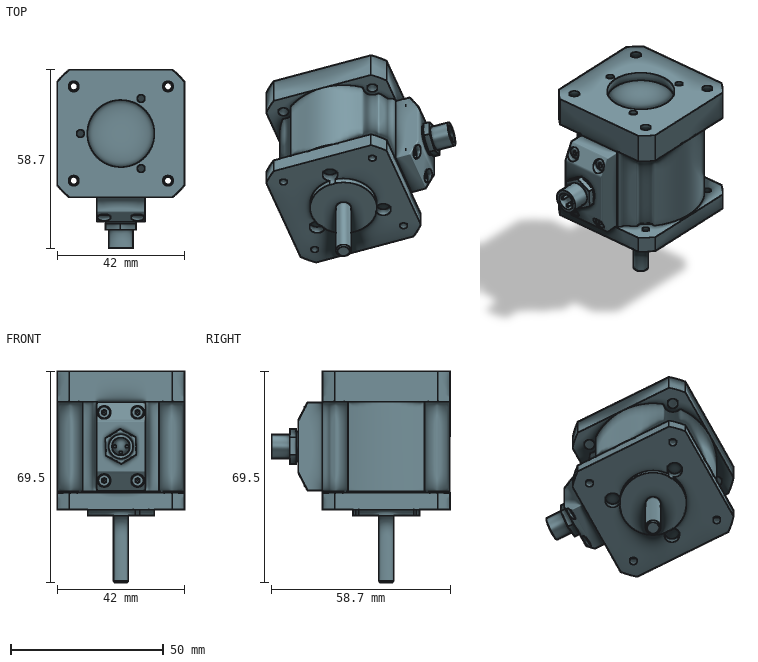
import cadquery as cq
import math

select_margin = 0.5

frame_size = 42.0
frame_corner_radius = 27.0
half_frame = frame_size / 2

flange_thickness = 5.5
gap_height = 0.5
body_height = 29.5
cap_height = 10.0
body_bottom = flange_thickness + gap_height
body_top = body_bottom + body_height
cap_top = body_top + cap_height

pilot_diameter = 22.0
pilot_height = 2.0
shaft_diameter = 5.0
shaft_length = 22.0
shaft_chamfer = 0.5

bolt_spacing = 31.0
flange_hole_diameter = 2.46
cap_hole_diameter = 3.4

recess_diameter = 22.1
recess_depth = 3.0
small_hole_circle_radius = 13.3
small_hole_angles = (60, 180, 300)
small_hole_diameter = 2.5
small_hole_depth = 6.0
flange_recess_diameter = 5.0
flange_recess_depth = 3.0

body_diameter = frame_size
neck_diameter = 38.0
groove_diameter = 6.0
groove_rim_fillet = 0.75
pad_outer_half_width = 8.6
pad_root_half_width = 9.4
pad_root_y = -18.6
pad_fillet = 1.2

housing_width = 16.0
housing_height = 29.0
housing_face_y = -29.0
housing_slope_start_y = -25.9
housing_slope_height = 6.0
housing_face_fillet = 2.0
housing_edge_fillet = 0.4
housing_z = body_bottom + body_height / 2

screw_spacing_x = 11.0
screw_spacing_z = 22.4
screw_pocket_diameter = 4.3
screw_head_diameter = 3.8
screw_head_y = -26.9
screw_head_height = 2.5
screw_head_fillet = 0.2
screw_socket_flats = 1.5
screw_socket_depth = 1.0
screw_socket_cone_depth = 0.5
screw_socket_tip_diameter = 0.1

collar_diameter = 10.0
nut_start_y = -29.6
nut_end_y = -31.7
nut_flats = 10.0
nut_turn = 2.0
barrel_diameter = 8.0
barrel_end_y = -37.66
bore_diameter = 5.88
bore_depth = 5.0
pin_diameter = 1.0
pin_offset = 2.0
pin_setback = 0.6


def cylinder(diameter, bottom, top):
    """Vertical cylinder between two heights."""
    return cq.Workplane("XY").workplane(offset=bottom).circle(diameter / 2).extrude(top - bottom)


def cylinder_y(x, z, diameter, start_y, end_y):
    """Cylinder along -Y from start_y out to end_y."""
    plane = cq.Workplane("XZ", origin=(x, start_y, z))
    return plane.circle(diameter / 2).extrude(start_y - end_y)


def hexagon_y(x, z, flats, start_y, end_y, turn=0.0):
    """Hexagonal prism along -Y; at zero turn two of its flats face +X and -X."""
    half_sector = 30
    across_corners = flats / math.cos(math.radians(half_sector))
    plane = cq.Workplane("XZ", origin=(x, start_y, z))
    plane = plane.transformed(rotate=(0, 0, half_sector + turn))
    return plane.polygon(6, across_corners).extrude(start_y - end_y)


def bolt_holes(diameter, bottom, top):
    """Four vertical cylinders on the square bolt pattern."""
    plane = cq.Workplane("XY").workplane(offset=bottom).rect(bolt_spacing, bolt_spacing, forConstruction=True)
    return plane.vertices().circle(diameter / 2).extrude(top - bottom)


def triple_holes(diameter, bottom, top):
    """Three vertical cylinders spaced evenly on the small hole circle."""
    points = []
    for angle in small_hole_angles:
        turn = math.radians(angle)
        points.append((small_hole_circle_radius * math.cos(turn), small_hole_circle_radius * math.sin(turn)))
    plane = cq.Workplane("XY").workplane(offset=bottom)
    return plane.pushPoints(points).circle(diameter / 2).extrude(top - bottom)


def square_plate(bottom, top):
    """Square plate whose corners are cut by a large concentric circle."""
    height = top - bottom
    plate = cq.Workplane("XY").workplane(offset=bottom).rect(frame_size, frame_size).extrude(height)
    return plate.intersect(cylinder(2 * frame_corner_radius, bottom, top))


def make_flange():
    """Mounting plate and pilot with three recesses that break the pilot rim."""
    plate = square_plate(0, flange_thickness).cut(bolt_holes(flange_hole_diameter, 0, flange_thickness))
    pilot = cylinder(pilot_diameter, -pilot_height, 0)
    flange = plate.union(pilot)
    return flange.cut(triple_holes(flange_recess_diameter, -pilot_height, flange_recess_depth))


def make_shaft():
    """Plain shaft with a chamfered tip."""
    shaft = cylinder(shaft_diameter, -pilot_height - shaft_length, 0)
    return shaft.faces("<Z").chamfer(shaft_chamfer)


def make_body():
    """Round body with four bolt grooves and a raised flat pad on the -Y side, standing on a narrower neck."""
    body = cylinder(body_diameter, body_bottom, body_top)
    pad = (
        cq.Workplane("XY").workplane(offset=body_bottom)
        .moveTo(-pad_outer_half_width, -half_frame)
        .lineTo(pad_outer_half_width, -half_frame)
        .lineTo(pad_root_half_width, pad_root_y)
        .lineTo(pad_root_half_width, 0)
        .lineTo(-pad_root_half_width, 0)
        .lineTo(-pad_root_half_width, pad_root_y)
        .close()
        .extrude(body_height)
    )
    body = body.union(pad)
    pad_edges = cq.selectors.BoxSelector(
        (-pad_root_half_width - select_margin, -half_frame - select_margin, body_bottom),
        (pad_root_half_width + select_margin, pad_root_y + select_margin, body_top),
    )
    body = body.edges("|Z").edges(pad_edges).fillet(pad_fillet)

    body = body.cut(bolt_holes(groove_diameter, body_bottom, body_top))
    reach = groove_diameter / 2 + select_margin
    for side_x in (-1, 1):
        for side_y in (-1, 1):
            center_x = side_x * bolt_spacing / 2
            center_y = side_y * bolt_spacing / 2
            rims = cq.selectors.BoxSelector(
                (center_x - reach, center_y - reach, body_bottom),
                (center_x + reach, center_y + reach, body_top),
            )
            body = body.edges("|Z").edges(rims).fillet(groove_rim_fillet)

    neck = cylinder(neck_diameter, flange_thickness, body_bottom)
    neck = neck.cut(bolt_holes(groove_diameter, flange_thickness, body_bottom))
    return body.union(neck)


def make_cap():
    """End cap with through bolt holes, a round recess and three blind holes."""
    cap = square_plate(body_top, cap_top)
    cap = cap.cut(bolt_holes(cap_hole_diameter, body_top, cap_top))
    cap = cap.cut(cylinder(recess_diameter, cap_top - recess_depth, cap_top))
    return cap.cut(triple_holes(small_hole_diameter, cap_top - small_hole_depth, cap_top))


def make_screw(x, z):
    """Cap screw head with a hexagonal socket and a conical socket bottom."""
    head = cylinder_y(x, z, screw_head_diameter, screw_head_y + screw_head_height, screw_head_y)
    head = head.faces("<Y").edges().fillet(screw_head_fillet)
    socket = hexagon_y(x, z, screw_socket_flats, screw_head_y + screw_socket_depth, screw_head_y)
    socket_floor = cq.Workplane("XZ", origin=(x, screw_head_y + screw_socket_depth, z))
    cone = socket_floor.circle(screw_socket_flats / 2).workplane(offset=-screw_socket_cone_depth)
    cone = cone.circle(screw_socket_tip_diameter / 2).loft()
    return head.cut(socket).cut(cone)


def make_housing():
    """Housing with sloped top and bottom ends, each holding two recessed screws."""
    half_height = housing_height / 2
    half_face = half_height - housing_slope_height
    housing = (
        cq.Workplane("YZ", origin=(-housing_width / 2, 0, housing_z))
        .moveTo(-half_frame, -half_height)
        .lineTo(housing_slope_start_y, -half_height)
        .lineTo(housing_face_y, -half_face)
        .lineTo(housing_face_y, half_face)
        .lineTo(housing_slope_start_y, half_height)
        .lineTo(-half_frame, half_height)
        .close()
        .extrude(housing_width)
    )
    housing = housing.faces("<Y").edges("|X").fillet(housing_face_fillet)
    outer_edges = cq.selectors.BoxSelector(
        (-housing_width, housing_slope_start_y - select_margin, housing_z - housing_height),
        (housing_width, housing_slope_start_y + select_margin, housing_z + housing_height),
    )
    housing = housing.edges("|X").edges(outer_edges).fillet(housing_edge_fillet)
    housing = housing.faces("<X or >X").edges("not >Y").fillet(housing_edge_fillet)
    for side_x in (-1, 1):
        for side_z in (-1, 1):
            x = side_x * screw_spacing_x / 2
            z = housing_z + side_z * screw_spacing_z / 2
            pocket_floor = screw_head_y + screw_head_height
            pocket = cylinder_y(x, z, screw_pocket_diameter, pocket_floor, housing_face_y)
            housing = housing.cut(pocket).union(make_screw(x, z))
    return housing


def make_connector():
    """Collar, hexagonal nut and hollow barrel with three contact pins."""
    collar = cylinder_y(0, housing_z, collar_diameter, housing_face_y, nut_start_y)
    nut = hexagon_y(0, housing_z, nut_flats, nut_start_y, nut_end_y, nut_turn)
    barrel = cylinder_y(0, housing_z, barrel_diameter, nut_end_y, barrel_end_y)
    connector = collar.union(nut).union(barrel)
    bore_floor = barrel_end_y + bore_depth
    connector = connector.cut(cylinder_y(0, housing_z, bore_diameter, bore_floor, barrel_end_y))
    for x, z in ((-pin_offset, 0), (pin_offset, 0), (0, -pin_offset)):
        pin = cylinder_y(x, housing_z + z, pin_diameter, bore_floor, barrel_end_y + pin_setback)
        connector = connector.union(pin)
    return connector


result = make_flange()
for piece in (make_shaft(), make_body(), make_cap(), make_housing(), make_connector()):
    result = result.union(piece)